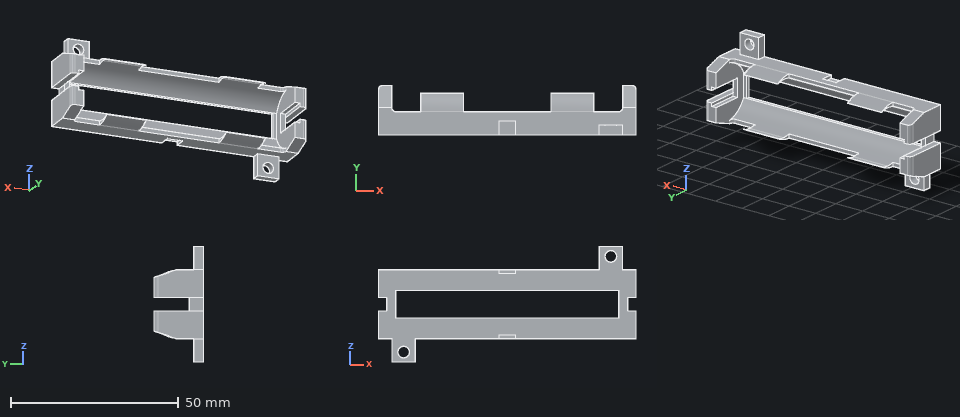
import cadquery as cq
import math

BODY_LENGTH = 77.06
BODY_HEIGHT = 20.65
RAIL_DEPTH = 7.0
WALL_DEPTH = 14.86
WALL_THICKNESS = 4.03
CORNER_RADIUS = 1.2

SLOPE_START = 8.2
SLOPE_TIP_HALF_HEIGHT = 8.05

CELL_RADIUS = 9.35
CELL_AXIS_DEPTH = 9.65
WINDOW_LENGTH = 66.67
WINDOW_HEIGHT = 8.14

NOTCH_HEIGHT = 4.0
NOTCH_LENGTH = 2.4
POCKET_HEIGHT = 6.2
POCKET_FLOOR = 4.3

CLIP_LENGTH = 12.85
CLIP_OFFSET = 19.5
CLIP_TIP_DEPTH = 12.54
CLIP_TIP_OUTER = 8.78
CLIP_TIP_INNER = 8.7

TAB_SIZE = 7.0
TAB_THICKNESS = 3.0
HOLE_DIAMETER = 3.4
HOLE_EDGE_DISTANCE = 3.0

RECESS_LENGTH = 5.0
RECESS_DEPTH = 4.2
RECESS_HEIGHT = 1.1

HALF_LENGTH = BODY_LENGTH / 2
HALF_HEIGHT = BODY_HEIGHT / 2
INNER_HALF_LENGTH = HALF_LENGTH - WALL_THICKNESS


def block(length, depth, height, x=0.0, y=0.0, z=0.0):
    """Box centred on x and z whose front face lies at y."""
    box = cq.Workplane("XY").box(length, depth, height, centered=(True, False, True))
    return box.translate((x, y, z))


def extrude_along_x(sketch, length, x=0.0):
    """Extrude a YZ outline symmetrically about the plane at x."""
    return sketch.extrude(length / 2, both=True).translate((x, 0, 0))


def arc_point(start_depth, start_height, tip_height):
    """Point half way, in depth, along an arc that starts parallel to Y and ends at the clip tip."""
    rise = CLIP_TIP_DEPTH - start_depth
    drop = start_height - tip_height
    radius = (rise**2 + drop**2) / (2 * drop)
    return start_depth + rise / 2, start_height - radius + math.sqrt(radius**2 - (rise / 2) ** 2)


def make_body():
    """U-shaped body seen along Z, trimmed to the sloped end-wall outline."""
    profile = (
        cq.Workplane("XY")
        .moveTo(-HALF_LENGTH, 0)
        .lineTo(HALF_LENGTH, 0)
        .lineTo(HALF_LENGTH, WALL_DEPTH)
        .lineTo(INNER_HALF_LENGTH, WALL_DEPTH)
        .lineTo(INNER_HALF_LENGTH, RAIL_DEPTH)
        .lineTo(-INNER_HALF_LENGTH, RAIL_DEPTH)
        .lineTo(-INNER_HALF_LENGTH, WALL_DEPTH)
        .lineTo(-HALF_LENGTH, WALL_DEPTH)
        .close()
        .extrude(HALF_HEIGHT, both=True)
    )
    inner_corners = cq.selectors.BoxSelector(
        (-HALF_LENGTH + CORNER_RADIUS, RAIL_DEPTH - CORNER_RADIUS, -HALF_HEIGHT),
        (HALF_LENGTH - CORNER_RADIUS, RAIL_DEPTH + CORNER_RADIUS, HALF_HEIGHT),
    )
    profile = profile.edges("|Z").edges(inner_corners).fillet(CORNER_RADIUS)
    profile = profile.faces(">Y").edges("|Z").edges("<X or >X").fillet(CORNER_RADIUS)
    outline = (
        cq.Workplane("YZ")
        .moveTo(0, -HALF_HEIGHT)
        .lineTo(SLOPE_START, -HALF_HEIGHT)
        .lineTo(WALL_DEPTH, -SLOPE_TIP_HALF_HEIGHT)
        .lineTo(WALL_DEPTH, SLOPE_TIP_HALF_HEIGHT)
        .lineTo(SLOPE_START, HALF_HEIGHT)
        .lineTo(0, HALF_HEIGHT)
        .close()
    )
    return profile.intersect(extrude_along_x(outline, BODY_LENGTH))


def make_cavity():
    """Cell cavity with a flat floor, closing in again between the clips, plus the window."""
    floor_half_height = WINDOW_HEIGHT / 2
    floor_thickness = CELL_AXIS_DEPTH - math.sqrt(CELL_RADIUS**2 - floor_half_height**2)
    diagonal = CELL_RADIUS / math.sqrt(2)
    side_depth = CELL_AXIS_DEPTH - diagonal
    curl_depth, curl_height = arc_point(CELL_AXIS_DEPTH, CELL_RADIUS, CLIP_TIP_INNER)
    outline = (
        cq.Workplane("YZ")
        .moveTo(floor_thickness, -floor_half_height)
        .threePointArc((side_depth, -diagonal), (CELL_AXIS_DEPTH, -CELL_RADIUS))
        .threePointArc((curl_depth, -curl_height), (CLIP_TIP_DEPTH, -CLIP_TIP_INNER))
        .lineTo(CLIP_TIP_DEPTH, CLIP_TIP_INNER)
        .threePointArc((curl_depth, curl_height), (CELL_AXIS_DEPTH, CELL_RADIUS))
        .threePointArc((side_depth, diagonal), (floor_thickness, floor_half_height))
        .close()
    )
    window = block(WINDOW_LENGTH, RAIL_DEPTH, WINDOW_HEIGHT)
    return extrude_along_x(outline, 2 * INNER_HALF_LENGTH).union(window)


def make_clip_blank(x):
    """Upper clip with its curved outer face; the cavity later hollows its inner face."""
    outline = (
        cq.Workplane("YZ")
        .moveTo(RAIL_DEPTH, CLIP_TIP_INNER)
        .lineTo(RAIL_DEPTH, HALF_HEIGHT)
        .threePointArc(
            arc_point(RAIL_DEPTH, HALF_HEIGHT, CLIP_TIP_OUTER), (CLIP_TIP_DEPTH, CLIP_TIP_OUTER)
        )
        .lineTo(CLIP_TIP_DEPTH, CLIP_TIP_INNER)
        .close()
    )
    return extrude_along_x(outline, CLIP_LENGTH, x)


def make_end_slot():
    """Slot at the +X end: a narrow notch outside, opening into a taller pocket inside the wall."""
    notch = block(NOTCH_LENGTH, WALL_DEPTH, NOTCH_HEIGHT, x=HALF_LENGTH - NOTCH_LENGTH / 2)
    pocket_length = WALL_THICKNESS - NOTCH_LENGTH
    pocket = block(
        pocket_length, WALL_DEPTH, POCKET_HEIGHT, x=INNER_HALF_LENGTH + pocket_length / 2, y=POCKET_FLOOR
    )
    return notch.union(pocket)


def make_tab():
    """Upper screw tab near the +X end."""
    x = INNER_HALF_LENGTH - TAB_SIZE / 2
    tab = block(TAB_SIZE, TAB_THICKNESS, TAB_SIZE, x=x, z=HALF_HEIGHT + TAB_SIZE / 2)
    hole = (
        cq.Workplane("XZ")
        .center(x, HALF_HEIGHT + TAB_SIZE - HOLE_EDGE_DISTANCE)
        .circle(HOLE_DIAMETER / 2)
        .extrude(-TAB_THICKNESS)
    )
    return tab.cut(hole)


def make_recess():
    """Recess in the top face of the upper rail, open to the front."""
    return block(RECESS_LENGTH, RECESS_DEPTH, RECESS_HEIGHT, z=HALF_HEIGHT - RECESS_HEIGHT / 2)


holder = make_body()

for clip_x in (-CLIP_OFFSET, CLIP_OFFSET):
    upper_clip = make_clip_blank(clip_x)
    holder = holder.union(upper_clip).union(upper_clip.mirror("XY"))

holder = holder.cut(make_cavity())

end_slot = make_end_slot()
holder = holder.cut(end_slot).cut(end_slot.mirror("YZ"))

recess = make_recess()
holder = holder.cut(recess).cut(recess.mirror("XY"))

upper_tab = make_tab()
lower_tab = upper_tab.rotate((0, 0, 0), (0, 1, 0), 180)
result = holder.union(upper_tab).union(lower_tab)